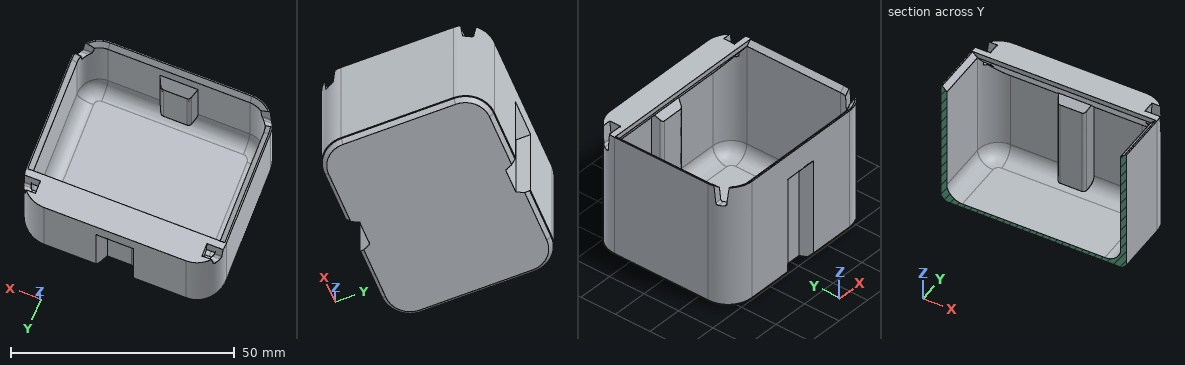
import cadquery as cq

LENGTH = 48.0
WIDTH = 41.2
HEIGHT = 33.7
CORNER_RADIUS = 7.0

FOOT_STEP = 0.2
FOOT_HEIGHT = 1.1
FOOT_CHAMFER = 1.0

WALL = 1.65
FLOOR = 1.2
FLOOR_FILLET = 4.0
RIM_WALL = 0.4
RIM_CHAMFER = WALL - RIM_WALL
RIM_LAND = 0.05
RIM_HEIGHT = RIM_CHAMFER + RIM_LAND

SHELF_DEPTH = 7.05
SHELF_EDGE = 1.3
SHELF_ROOT = 8.25

CHANNEL_WIDTH = 8.95
CHANNEL_TOP = 27.0
CHANNEL_DEPTH = 3.0
RIB_WIDTH = 9.1
RIB_TOP = 26.9
RIB_SKIN = 0.95
RIB_HEIGHT = CHANNEL_DEPTH + RIB_SKIN - WALL
RIB_EDGE_FILLET = 0.95
SIDE_TAPER = 0.5
TOP_TAPER = 1.0

NOTCH_LENGTH = 4.05
NOTCH_TOP_WIDTH = 3.05
NOTCH_BOTTOM_WIDTH = 2.1
NOTCH_DEPTH = 5.1
NOTCH_FILLET = 0.6
NOTCH_INSET = 3.9


def rounded_block(inset, bottom, height):
    """Block inset from the outer walls, with vertical corners concentric with the box."""
    return (
        cq.Workplane("XY", origin=(0, 0, bottom))
        .rect(LENGTH - 2 * inset, WIDTH - 2 * inset)
        .extrude(height)
        .edges("|Z")
        .fillet(CORNER_RADIUS - inset)
    )


def tapered_prism(y_start, base_width, depth, base_top):
    """Prism growing toward +Y from y_start while its sides and top draw in."""
    tip_width = base_width - 2 * SIDE_TAPER * depth
    tip_top = base_top - TOP_TAPER * depth
    return (
        cq.Workplane("XZ", origin=(0, y_start, 0))
        .center(0, base_top / 2)
        .rect(base_width, base_top)
        .workplane(offset=-depth)
        .center(0, (tip_top - base_top) / 2)
        .rect(tip_width, tip_top)
        .loft(ruled=True)
    )


def at_front_and_back(solid):
    return solid.union(solid.mirror("XZ"))


def outer_body():
    foot = (
        rounded_block(FOOT_STEP, 0, FOOT_HEIGHT)
        .faces("<Z")
        .edges()
        .chamfer(FOOT_CHAMFER)
    )
    return rounded_block(0, FOOT_HEIGHT, HEIGHT - FOOT_HEIGHT).union(foot)


def cavity():
    pocket = rounded_block(WALL, FLOOR, HEIGHT - FLOOR).faces("<Z").edges().fillet(FLOOR_FILLET)
    flare = (
        rounded_block(RIM_WALL, HEIGHT - RIM_HEIGHT, RIM_HEIGHT)
        .faces("<Z")
        .edges()
        .chamfer(RIM_CHAMFER)
    )
    return pocket.union(flare)


def shelf():
    back = WIDTH / 2
    front = back - SHELF_DEPTH
    profile = [
        (back, HEIGHT),
        (front, HEIGHT),
        (front, HEIGHT - SHELF_EDGE),
        (back - WALL, HEIGHT - SHELF_ROOT),
        (back, HEIGHT - SHELF_ROOT),
    ]
    bar = cq.Workplane("YZ").polyline(profile).close().extrude(LENGTH / 2, both=True)
    return bar.intersect(rounded_block(0, 0, HEIGHT))


def ribs():
    rib = tapered_prism(WALL - WIDTH / 2, RIB_WIDTH, RIB_HEIGHT, RIB_TOP)
    return at_front_and_back(rib.edges(">Y and |Z").fillet(RIB_EDGE_FILLET))


def channels():
    return at_front_and_back(tapered_prism(-WIDTH / 2, CHANNEL_WIDTH, CHANNEL_DEPTH, CHANNEL_TOP))


def corner_notch(x_side, y_side):
    profile = [
        (-NOTCH_TOP_WIDTH / 2, 0),
        (NOTCH_TOP_WIDTH / 2, 0),
        (NOTCH_BOTTOM_WIDTH / 2, -NOTCH_DEPTH),
        (-NOTCH_BOTTOM_WIDTH / 2, -NOTCH_DEPTH),
    ]
    center_x = x_side * (LENGTH - NOTCH_LENGTH) / 2
    center_y = y_side * (WIDTH / 2 - NOTCH_INSET)
    return (
        cq.Workplane("YZ", origin=(center_x, center_y, HEIGHT))
        .polyline(profile)
        .close()
        .extrude(NOTCH_LENGTH / 2, both=True)
        .edges("|X and <Z")
        .fillet(NOTCH_FILLET)
    )


inner_ribs = ribs().intersect(rounded_block(WALL / 2, FLOOR / 2, HEIGHT))
result = outer_body().cut(cavity()).union(shelf()).union(inner_ribs).cut(channels())
for x_side in (-1, 1):
    for y_side in (-1, 1):
        result = result.cut(corner_notch(x_side, y_side))